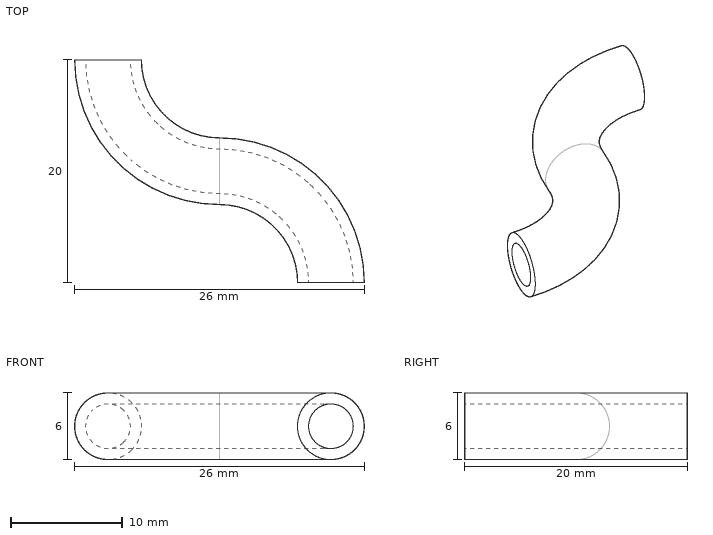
import cadquery as cq
import math

overall_length = 26.0
outer_diameter = 6.0
bore_diameter = 4.0

bend_radius = (overall_length - outer_diameter) / 2
arc_mid_near = bend_radius * (1 - math.sin(math.pi / 4))
arc_mid_far = bend_radius * math.sin(math.pi / 4)

centreline = (
    cq.Workplane("XY")
    .moveTo(-bend_radius, bend_radius)
    .threePointArc((-arc_mid_far, arc_mid_near), (0, 0))
    .threePointArc((arc_mid_far, -arc_mid_near), (bend_radius, -bend_radius))
)

result = (
    cq.Workplane("XZ", origin=(-bend_radius, bend_radius, 0))
    .circle(outer_diameter / 2)
    .circle(bore_diameter / 2)
    .sweep(centreline)
)